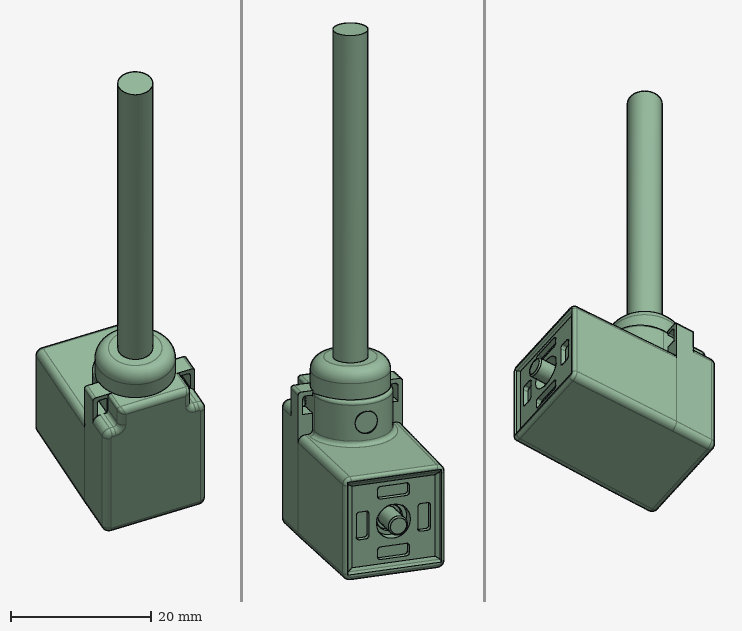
import cadquery as cq


margin = 0.1

total_length = 26.2
total_height = 77.2
width = 16.0
half_width = width / 2
back_x = 7.0
pin_tip_x = back_x - total_length

face_x = -17.6
face_width = 15.45
face_top = 15.75
body_top = 16.0
body_round = 1.1
face_round = 0.55

block_top = 22.6
back_round = 0.9

strap_depth = 2.9
strap_thickness = 0.7
strap_round = 0.5
window_round = 0.5
tongue_half_width = 5.6
tongue_top_round = 0.5
tongue_foot_round = 0.6
latch_floor = 19.15
shoulder_round = 1.15

neck_radius = 5.8
neck_arc_x = -0.8
neck_top_round = 0.55
neck_foot_round = 0.7
dimple_diameter = 3.4
dimple_depth = 0.27
dimple_z = 19.3

gland_diameter = 11.5
gland_top = 27.0
gland_round = 1.9
cable_diameter = 5.0

contact_z = 8.0
recess_depth = 0.5
recess_break_depth = recess_depth / 2
recess_mouth = (14.35, 14.2)
recess_break = (14.05, 13.4)
panel_size = (12.7, 12.5)
panel_x = face_x + recess_depth
flat_slot_offset = 4.6
upright_slot_offset = 4.7
slot_thickness = 1.9
slot_depth = 0.8
flat_slot_length = 4.9
upright_slot_length = 4.25
slot_corner_round = 0.5
pin_diameter = 2.9
pin_tip_chamfer = 0.2
pin_bore_diameter = 5.2
pin_bore_depth = 1.55
pin_seat_diameter = 3.9
pin_seat_depth = 0.8
pin_anchor = 0.8


def section(distance, section_width, top):
    """Round-cornered body section standing on Z = 0, at a distance behind the contact face."""
    sketch = cq.Sketch().rect(section_width, top).vertices().fillet(body_round)
    return sketch.moved(cq.Location(cq.Vector(0, top / 2, distance)))


def make_body():
    front = section(0, face_width, face_top)
    rear = section(-face_x, width, body_top)
    body = cq.Workplane("YZ", origin=(face_x, 0, 0)).placeSketch(front, rear).loft()
    return body.faces("<X").edges().fillet(face_round)


def make_strap():
    """Front slice of the rear block, with a window at each upper corner."""
    strap = (
        cq.Workplane("XY")
        .box(strap_depth, width, block_top, centered=(False, True, False))
        .edges("|X and <Z").fillet(body_round)
        .edges("|X and >Z").fillet(strap_round)
    )
    window_top = block_top - strap_thickness
    window_outer = half_width - strap_thickness
    for side in (-1, 1):
        window = (
            cq.Workplane("YZ")
            .center(side * (tongue_half_width + window_outer) / 2, (latch_floor + window_top) / 2)
            .rect(window_outer - tongue_half_width, window_top - latch_floor)
            .extrude(strap_depth)
            .edges("|X and >Z").fillet(window_round)
        )
        strap = strap.cut(window)
    return strap


def make_back():
    """Rear slice of the rear block: a central tongue between two lower shoulders."""
    back_depth = back_x - strap_depth
    back = cq.Workplane("XY", origin=(strap_depth, 0, 0)).box(
        back_depth, width, latch_floor, centered=(False, True, False)
    )
    tongue = cq.Workplane("XY", origin=(strap_depth, 0, 0)).box(
        back_depth, 2 * tongue_half_width, block_top, centered=(False, True, False)
    )
    foot_zone = cq.selectors.BoxSelector(
        (strap_depth, -tongue_half_width - margin, latch_floor - margin),
        (back_x, tongue_half_width + margin, latch_floor + margin),
    )
    back = back.edges("|X and >Z").fillet(shoulder_round)
    back = back.edges("|X and <Z").fillet(body_round)
    back = back.union(tongue)
    back = back.edges("|X").edges(foot_zone).fillet(tongue_foot_round)
    back = back.edges("|X and >Z").fillet(tongue_top_round)
    return back.faces(">X").edges().fillet(back_round)


def make_neck():
    """Round-nosed column, reaching back into the rear block."""
    neck_bottom = face_top - body_round
    neck = (
        cq.Workplane("XY", origin=(0, 0, neck_bottom))
        .moveTo(strap_depth, -neck_radius)
        .lineTo(neck_arc_x, -neck_radius)
        .threePointArc((neck_arc_x - neck_radius, 0), (neck_arc_x, neck_radius))
        .lineTo(strap_depth, neck_radius)
        .close()
        .extrude(block_top - neck_bottom)
    )
    nose_x = neck_arc_x - neck_radius
    top_edges = neck.faces(">Z").edges("not >X")
    neck = top_edges.fillet(neck_top_round)
    dimple = (
        cq.Workplane("YZ", origin=(nose_x, 0, dimple_z))
        .circle(dimple_diameter / 2)
        .extrude(dimple_depth)
    )
    return neck.cut(dimple)


def add_neck(housing):
    """Join the neck to the housing and blend its foot into the body top."""
    joined = housing.union(make_neck())
    foot = cq.selectors.BoxSelector(
        (neck_arc_x - neck_radius - neck_foot_round, -neck_radius - neck_foot_round, face_top),
        (-margin, neck_radius + neck_foot_round, body_top + margin),
    )
    return joined.edges(foot).fillet(neck_foot_round)


def make_gland_and_cable():
    gland = (
        cq.Workplane("XY", origin=(0, 0, body_top))
        .circle(gland_diameter / 2)
        .extrude(gland_top - body_top)
        .faces(">Z").edges().fillet(gland_round)
    )
    cable = (
        cq.Workplane("XY", origin=(0, 0, body_top))
        .circle(cable_diameter / 2)
        .extrude(total_height - body_top)
    )
    return gland.union(cable)


def tapered_pocket(x, depth, mouth, floor):
    """Rectangular frustum on the contact axis, narrowing toward +X."""
    return (
        cq.Workplane("YZ", origin=(x, 0, contact_z))
        .rect(*mouth)
        .workplane(offset=depth)
        .rect(*floor)
        .loft()
    )


def make_contact_slot(y, z, slot_width, slot_height):
    return (
        cq.Workplane("YZ", origin=(panel_x, y, z))
        .rect(slot_width, slot_height)
        .extrude(slot_depth)
        .edges("|X").fillet(slot_corner_round)
    )


def disc(x, diameter, length):
    """Cylinder on the contact axis, starting at x and running toward +X."""
    return cq.Workplane("YZ", origin=(x, 0, contact_z)).circle(diameter / 2).extrude(length)


def cut_contact_face(housing):
    break_x = face_x + recess_break_depth
    housing = housing.cut(tapered_pocket(face_x, recess_break_depth, recess_mouth, recess_break))
    housing = housing.cut(tapered_pocket(break_x, panel_x - break_x, recess_break, panel_size))
    for side in (-1, 1):
        flat_z = contact_z + side * flat_slot_offset
        upright_y = side * upright_slot_offset
        housing = housing.cut(make_contact_slot(0, flat_z, flat_slot_length, slot_thickness))
        housing = housing.cut(make_contact_slot(upright_y, contact_z, slot_thickness, upright_slot_length))
    housing = housing.cut(disc(panel_x, pin_bore_diameter, pin_bore_depth))
    return housing.cut(disc(panel_x + pin_bore_depth, pin_seat_diameter, pin_seat_depth))


def make_pin():
    """Contact pin, rooted in the solid behind its seat."""
    pin_end = panel_x + pin_bore_depth + pin_seat_depth + pin_anchor
    pin = disc(pin_tip_x, pin_diameter, pin_end - pin_tip_x)
    return pin.faces("<X").edges().chamfer(pin_tip_chamfer)


housing = make_body().union(make_strap()).union(make_back())
housing = add_neck(housing)
housing = cut_contact_face(housing)
result = housing.union(make_gland_and_cable()).union(make_pin())